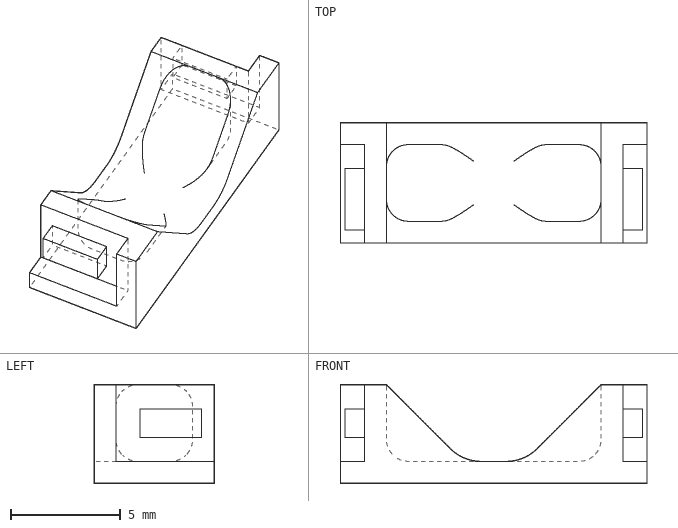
import cadquery as cq
import math

LENGTH = 14.0
WIDTH = 5.5
HEIGHT = 4.5
FLOOR = 1.0

LAND = 2.1
SADDLE_RADIUS = 2.0
FLANK_ANGLE = math.radians(45)

SIDE_WALL = 1.0
POCKET_RADIUS = 1.0

RECESS_DEPTH = 1.1
BACK_WALL = 1.0

TAB_LENGTH = 0.9
TAB_WIDTH = 2.8
TAB_HEIGHT = 1.3
TAB_FRONT = 0.6
TAB_BOTTOM = 2.1


def box(x, y, z, length, width, height):
    """Box placed by its lower left front corner."""
    return cq.Workplane("XY").box(length, width, height, centered=False).translate((x, y, z))


def mirror_to_other_end(shape):
    """Copy of a left end shape reflected to the right end."""
    return shape.mirror("YZ", (LENGTH / 2, 0, 0))


def saddle_body():
    """Block whose top dips down two flanks to a rounded saddle."""
    rise = HEIGHT - FLOOR
    foot_x = LAND + rise / math.tan(FLANK_ANGLE)
    tangent = SADDLE_RADIUS * math.tan(FLANK_ANGLE / 2)
    floor_x = foot_x + tangent
    flank_x = foot_x - tangent * math.cos(FLANK_ANGLE)
    flank_z = FLOOR + tangent * math.sin(FLANK_ANGLE)
    middle_x = floor_x - SADDLE_RADIUS * math.sin(FLANK_ANGLE / 2)
    middle_z = FLOOR + SADDLE_RADIUS * (1 - math.cos(FLANK_ANGLE / 2))
    profile = (
        cq.Workplane("XZ")
        .moveTo(0, 0)
        .lineTo(0, HEIGHT)
        .lineTo(LAND, HEIGHT)
        .lineTo(flank_x, flank_z)
        .threePointArc((middle_x, middle_z), (floor_x, FLOOR))
        .lineTo(LENGTH - floor_x, FLOOR)
        .threePointArc((LENGTH - middle_x, middle_z), (LENGTH - flank_x, flank_z))
        .lineTo(LENGTH - LAND, HEIGHT)
        .lineTo(LENGTH, HEIGHT)
        .lineTo(LENGTH, 0)
        .close()
    )
    return profile.extrude(-WIDTH)


def pocket():
    """Cutter for the pocket, rounded at its upright and bottom edges."""
    pocket_length = LENGTH - 2 * LAND
    pocket_width = WIDTH - 2 * SIDE_WALL
    block = box(LAND, SIDE_WALL, FLOOR, pocket_length, pocket_width, HEIGHT)
    return block.edges("|Z or <Z").fillet(POCKET_RADIUS)


def end_recess():
    """Cutter for the recess in the left end."""
    return box(0, 0, FLOOR, RECESS_DEPTH, WIDTH - BACK_WALL, HEIGHT - FLOOR)


def end_tab():
    """Tab standing in the left recess."""
    return box(RECESS_DEPTH - TAB_LENGTH, TAB_FRONT, TAB_BOTTOM, TAB_LENGTH, TAB_WIDTH, TAB_HEIGHT)


result = saddle_body().cut(pocket())
for recess in (end_recess(), mirror_to_other_end(end_recess())):
    result = result.cut(recess)
for tab in (end_tab(), mirror_to_other_end(end_tab())):
    result = result.union(tab)